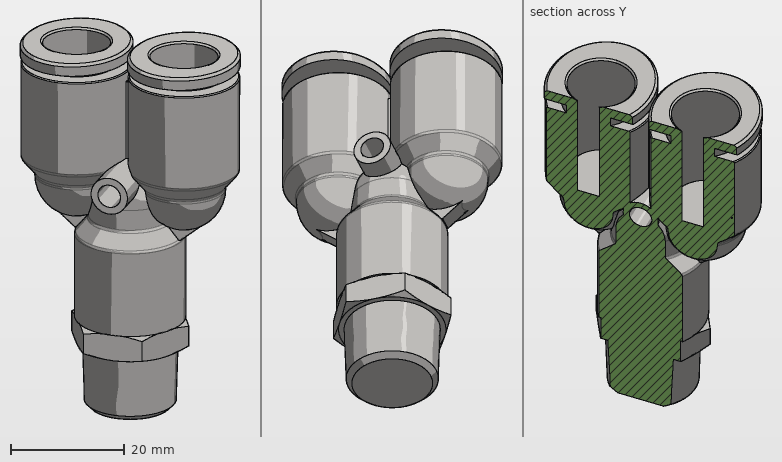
import cadquery as cq
import math

total_height = 67.9
branch_pitch = 20.0
branch_offset = branch_pitch / 2
body_radius = 9.85
neck_radius = 7.4

hex_bottom = 11.95
hex_top = 16.9
stem_shoulder = 32.9
stem_dome_center = 39.9
branch_dome_center = 42.5
branch_shoulder = 46.1
branch_top = 63.9
collar_bottom = 65.65

cone_height = 2.9
shoulder_fillet = 0.8
branch_rim_chamfer = 0.2

collar_width = 19.6
collar_depth = 22.4
collar_chamfer = 0.5
collar_stem_radius = 7.05
bore_diameter = 12.0
bore_radius = bore_diameter / 2
bore_chamfer = 0.35

hex_across_flats = 18.95
hex_corner_radius = hex_across_flats / math.sqrt(3)
hex_chamfer_height = 0.6

thread_top_radius = 8.5
thread_bottom_radius = 8.15
thread_chamfer = 1.0

cross_tube_z = 44.0
cross_tube_radius = 3.4
cross_tube_length = 22.7
cross_hole_radius = 2.1

web_thickness = 3.05
web_top = 62.0
web_low_corner_z = 33.1
web_slope = 40.0


def domed_body(cylinder_length, dome_center):
    """Cylinder, cone, neck and dome stacked upward from Z = 0."""
    cone_top = cylinder_length + cone_height
    dome_mid = neck_radius * math.sqrt(0.5)
    body = (
        cq.Workplane("XZ")
        .lineTo(body_radius, 0)
        .lineTo(body_radius, cylinder_length)
        .lineTo(neck_radius, cone_top)
        .lineTo(neck_radius, dome_center)
        .threePointArc((dome_mid, dome_center + dome_mid), (0, dome_center + neck_radius))
        .close()
        .revolve(360, (0, 0, 0), (0, 1, 0))
    )
    margin = 0.1
    reach = body_radius + margin
    shoulder_edges = cq.selectors.BoxSelector(
        (-reach, -reach, cylinder_length - margin),
        (reach, reach, cone_top + margin),
        boundingbox=True,
    )
    return body.edges("%CIRCLE").edges(shoulder_edges).fillet(shoulder_fillet)


def stem():
    body = domed_body(stem_shoulder - hex_top, stem_dome_center - hex_top)
    return body.translate((0, 0, hex_top))


def collar():
    """Oval push collar on its round stem, centred on the Z axis."""
    neck = (
        cq.Workplane("XY", origin=(0, 0, branch_top))
        .circle(collar_stem_radius)
        .extrude(collar_bottom - branch_top)
    )
    flange = (
        cq.Workplane("XY", origin=(0, 0, collar_bottom))
        .ellipse(collar_width / 2, collar_depth / 2)
        .extrude(total_height - collar_bottom)
        .faces(">Z")
        .chamfer(collar_chamfer)
    )
    return neck.union(flange)


def branch():
    """Domed body pointing down, with its collar on top, centred on the Z axis."""
    body = (
        domed_body(branch_top - branch_shoulder, branch_top - branch_dome_center)
        .faces("<Z")
        .chamfer(branch_rim_chamfer)
        .rotate((0, 0, 0), (1, 0, 0), 180)
        .translate((0, 0, branch_top))
    )
    return body.union(collar())


def tube_bore():
    """Cutter for the tube socket, ending level with the branch shoulder."""
    mouth_radius = bore_radius + bore_chamfer
    return (
        cq.Workplane("XZ")
        .moveTo(0, branch_shoulder)
        .lineTo(bore_radius, branch_shoulder)
        .lineTo(bore_radius, total_height - bore_chamfer)
        .lineTo(mouth_radius, total_height)
        .lineTo(0, total_height)
        .close()
        .revolve(360, (0, 0, 0), (0, 1, 0))
    )


def web():
    """Plate in the XZ plane; its sloped lower edges run into the branch domes."""
    slope_top_x = branch_offset + neck_radius / 2
    slope_rise = (slope_top_x - body_radius) * math.tan(math.radians(web_slope))
    slope_top_z = web_low_corner_z + slope_rise
    return (
        cq.Workplane("XZ")
        .moveTo(-body_radius, web_low_corner_z)
        .lineTo(-slope_top_x, slope_top_z)
        .lineTo(-branch_offset, branch_shoulder)
        .lineTo(-branch_offset, web_top)
        .lineTo(branch_offset, web_top)
        .lineTo(branch_offset, branch_shoulder)
        .lineTo(slope_top_x, slope_top_z)
        .lineTo(body_radius, web_low_corner_z)
        .close()
        .extrude(web_thickness / 2, both=True)
    )


def hexagon():
    """Hexagon with corners turned off to a cone above and below."""
    flat_radius = hex_across_flats / 2
    prism = (
        cq.Workplane("XY", origin=(0, 0, hex_bottom))
        .polygon(6, 2 * hex_corner_radius)
        .extrude(hex_top - hex_bottom)
    )
    turned_blank = (
        cq.Workplane("XZ")
        .moveTo(0, hex_bottom)
        .lineTo(flat_radius, hex_bottom)
        .lineTo(hex_corner_radius, hex_bottom + hex_chamfer_height)
        .lineTo(hex_corner_radius, hex_top - hex_chamfer_height)
        .lineTo(flat_radius, hex_top)
        .lineTo(0, hex_top)
        .close()
        .revolve(360, (0, 0, 0), (0, 1, 0))
    )
    return prism.intersect(turned_blank)


def thread():
    return (
        cq.Workplane("XZ")
        .lineTo(thread_bottom_radius - thread_chamfer, 0)
        .lineTo(thread_bottom_radius, thread_chamfer)
        .lineTo(thread_top_radius, hex_bottom)
        .lineTo(0, hex_bottom)
        .close()
        .revolve(360, (0, 0, 0), (0, 1, 0))
    )


def cross_cylinder(radius):
    return (
        cq.Workplane("XZ", origin=(0, 0, cross_tube_z))
        .circle(radius)
        .extrude(cross_tube_length / 2, both=True)
    )


part = thread().union(hexagon()).union(stem()).union(web())
for side in (-1, 1):
    part = part.union(branch().translate((side * branch_offset, 0, 0)))
part = part.union(cross_cylinder(cross_tube_radius))

for side in (-1, 1):
    part = part.cut(tube_bore().translate((side * branch_offset, 0, 0)))
result = part.cut(cross_cylinder(cross_hole_radius))